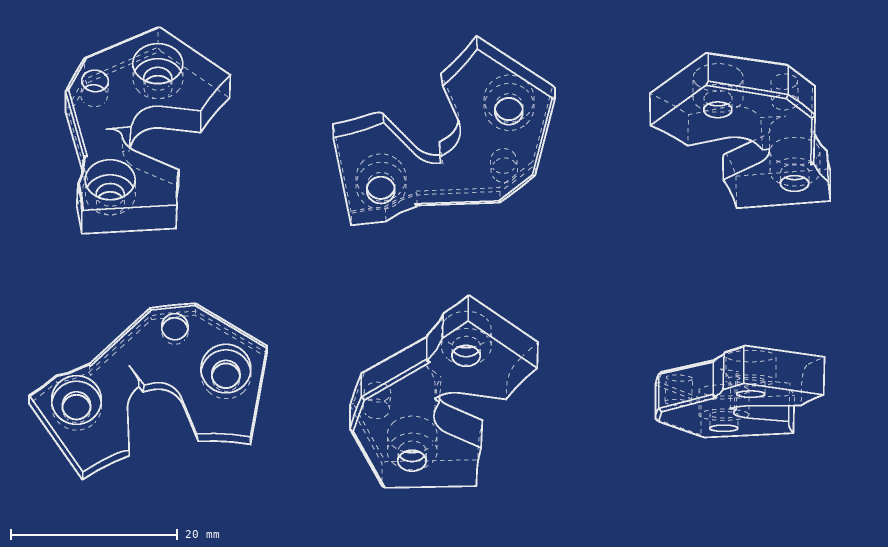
import cadquery as cq
import math


flat_height = 4.7
inner_radius = 27.2
inner_draft = 1.5
end_radius = 38.7
outer_radius = 43.3
end_angle = 22.2
outer_upper_y = 7.3
outer_lower_y = 1.85
notch_corner = (-38.13, -6.7)
rim_chamfer = 0.38

cone_start_radius = 38.3
cone_slope = math.radians(3)

foot_bottom = [notch_corner, (-37.7, -8.8), (-37.7, -10.87), (-36.23, -13.75)]
foot_top = [notch_corner, (-37.55, -9.47), (-37.55, -10.87), (-36.52, -12.85)]
foot_chamfer_height = 0.18
foot_chamfer_width = 0.18
foot_inner_x = -32.15

throat_wall_x = -34.1
upper_throat_radius = 2.98
upper_throat_center_y = 0.25
upper_throat_draft = 3.0
lower_throat_center = (-31.95, 0.18)
lower_throat_radius = 3.45
throat_flare = 10.0
step_angle = 205.0
throat_round = 1.93
throat_reach = 10.23

bolt_x = -34.0
bolt_y = 9.18
bolt_diameter = 3.4
counterbore_diameter = 6.0
counterbore_depth = 3.0
pin_center = (-40.32, 4.27)
pin_diameter = 3.18
pin_depth = 3.0


def polar(radius, degrees, center=(0, 0)):
    angle = math.radians(degrees)
    return (center[0] + radius * math.cos(angle), center[1] + radius * math.sin(angle))


def on_outer_arc(y):
    return (-math.sqrt(outer_radius**2 - y**2), y)


def cone_height(radius):
    return flat_height + (radius - cone_start_radius) * math.tan(cone_slope)


upper_tip = polar(end_radius, 180 - end_angle)
lower_tip = polar(end_radius, 180 + end_angle)
outer_upper = on_outer_arc(outer_upper_y)
outer_lower = on_outer_arc(outer_lower_y)


def end_face_point(x):
    return (x, x * math.tan(math.radians(end_angle)))


def make_segment():
    side_slope = (notch_corner[1] - outer_lower[1]) / (notch_corner[0] - outer_lower[0])
    end_slope = math.tan(math.radians(end_angle))
    side_end_x = (outer_lower[1] - side_slope * outer_lower[0]) / (end_slope - side_slope)
    outline = (
        cq.Workplane("XY")
        .moveTo(*upper_tip)
        .lineTo(*outer_upper)
        .threePointArc(on_outer_arc((outer_upper_y + outer_lower_y) / 2), outer_lower)
        .lineTo(*end_face_point(side_end_x))
        .lineTo(*polar(inner_radius, 180 + end_angle))
        .threePointArc((-inner_radius, 0), polar(inner_radius, 180 - end_angle))
        .close()
    )
    blank_radius = 1.1 * outer_radius
    envelope = (
        cq.Workplane("XZ")
        .polyline([
            (0, 0),
            (blank_radius, 0),
            (blank_radius, cone_height(blank_radius)),
            (cone_start_radius, flat_height),
            (0, flat_height),
        ])
        .close()
        .revolve(360, (0, 0), (0, 1))
    )
    return outline.extrude(2 * flat_height).intersect(envelope)


def chamfer_rim(body):
    corners = [upper_tip, outer_upper, outer_lower, notch_corner]
    margin = 5.85
    for start, end in zip(corners, corners[1:]):
        length = math.dist(start, end)
        along = cq.Vector((end[0] - start[0]) / length, (end[1] - start[1]) / length, 0)
        inward = cq.Vector(-along.y, along.x, 0)
        base = cq.Vector(*start, 0) - along * margin
        heights = [cone_height(math.hypot(*point)) for point in (start, end)]
        rise = (heights[1] - heights[0]) / length

        def bevel(edge_z, direction, slope):
            plane = cq.Plane(origin=base + cq.Vector(0, 0, edge_z - slope * margin),
                             xDir=inward, normal=along + cq.Vector(0, 0, slope))
            size = rim_chamfer
            far = 10 * size
            return (
                cq.Workplane(plane)
                .polyline([
                    (size + far, direction * far),
                    (-far, direction * far),
                    (-far, -direction * (size + far)),
                ])
                .close()
                .extrude((length + 2 * margin) * math.hypot(1, slope))
            )

        body = body.cut(bevel(0, -1, 0))
        body = body.cut(bevel(heights[0], 1, rise))
    return body


def make_bore():
    bottom_radius = inner_radius + flat_height * math.tan(math.radians(inner_draft))
    return cq.Workplane(cq.Solid.makeCone(bottom_radius, inner_radius, flat_height))


def make_foot():
    inner_corners = [lower_tip, end_face_point(foot_inner_x), (foot_inner_x, notch_corner[1])]
    chamfer_z = flat_height - foot_chamfer_height
    bevel_tip = end_face_point(lower_tip[0] + foot_chamfer_width)
    bevel_edge = [(x + foot_chamfer_width, y) for x, y in foot_top]

    def layer(lower, upper, bottom_z, height):
        return (
            cq.Workplane("XY", origin=(0, 0, bottom_z))
            .polyline(lower).close()
            .workplane(offset=height)
            .polyline(upper).close()
            .loft(ruled=True)
        )

    wall = layer(foot_bottom + inner_corners, foot_top + inner_corners, 0, chamfer_z)
    bevel = layer(foot_top + inner_corners, bevel_edge + [bevel_tip] + inner_corners[1:],
                  chamfer_z, foot_chamfer_height)
    return wall.union(bevel)


def make_upper_throat():
    center = (throat_wall_x + upper_throat_radius, upper_throat_center_y)
    tangent = polar(upper_throat_radius, 90 + throat_flare, center)
    mouth = polar(throat_reach, throat_flare, tangent)
    step_length = (lower_throat_center[0] - throat_wall_x) / -math.cos(math.radians(step_angle))
    step_inner = polar(step_length, step_angle, lower_throat_center)
    return (
        cq.Workplane("XY", origin=(0, 0, flat_height))
        .moveTo(*step_inner)
        .lineTo(throat_wall_x, upper_throat_center_y)
        .threePointArc(polar(upper_throat_radius, 135 + throat_flare / 2, center), tangent)
        .lineTo(*mouth)
        .lineTo(mouth[0], step_inner[1])
        .close()
        .extrude(-flat_height, taper=-upper_throat_draft)
    )


def make_lower_throat():
    tangent = polar(lower_throat_radius, 270 - throat_flare, lower_throat_center)
    mouth = polar(throat_reach, -throat_flare, tangent)
    step_outer = polar(lower_throat_radius, step_angle, lower_throat_center)
    mid_angle = (step_angle + 270 - throat_flare) / 2
    return (
        cq.Workplane("XY")
        .moveTo(*lower_throat_center)
        .lineTo(*step_outer)
        .threePointArc(polar(lower_throat_radius, mid_angle, lower_throat_center), tangent)
        .lineTo(*mouth)
        .lineTo(mouth[0], lower_throat_center[1])
        .close()
        .extrude(flat_height)
    )


def make_throat_round():
    def profile(degrees):
        plane = cq.Plane(
            origin=(*lower_throat_center, flat_height),
            xDir=(*polar(1, degrees), 0),
            normal=(*polar(1, degrees + 90), 0),
        )
        near = lower_throat_radius
        far = near + throat_round
        mid = throat_round * (1 - math.sqrt(0.5))
        return (
            cq.Workplane(plane)
            .moveTo(near, 0)
            .lineTo(near, throat_round)
            .threePointArc((near + mid, mid), (far, 0))
            .close()
        )

    sweep = 270 - throat_flare - step_angle
    arc_part = profile(step_angle).revolve(sweep, (0, 0), (0, -1))
    straight_part = profile(270 - throat_flare).extrude(throat_reach)
    return arc_part.union(straight_part)


def make_bolt_hole(y):
    through = cq.Workplane("XY").center(bolt_x, y).circle(bolt_diameter / 2).extrude(2 * flat_height)
    counterbore = (
        cq.Workplane("XY", origin=(bolt_x, y, flat_height - counterbore_depth))
        .circle(counterbore_diameter / 2)
        .extrude(flat_height)
    )
    return through.union(counterbore)


def make_pin_hole():
    radius = math.hypot(*pin_center)
    lean = math.sin(cone_slope) / radius
    axis = cq.Vector(-pin_center[0] * lean, -pin_center[1] * lean, math.cos(cone_slope))
    mouth = cq.Vector(*pin_center, cone_height(radius))
    hole = cq.Solid.makeCylinder(pin_diameter / 2, 2 * pin_depth, mouth - axis * pin_depth, axis)
    return cq.Workplane(hole)


result = chamfer_rim(make_segment()).union(make_foot())
result = result.cut(make_bore())
result = result.cut(make_upper_throat()).cut(make_lower_throat()).cut(make_throat_round())
for bolt_side in (1, -1):
    result = result.cut(make_bolt_hole(bolt_side * bolt_y))
result = result.cut(make_pin_hole())